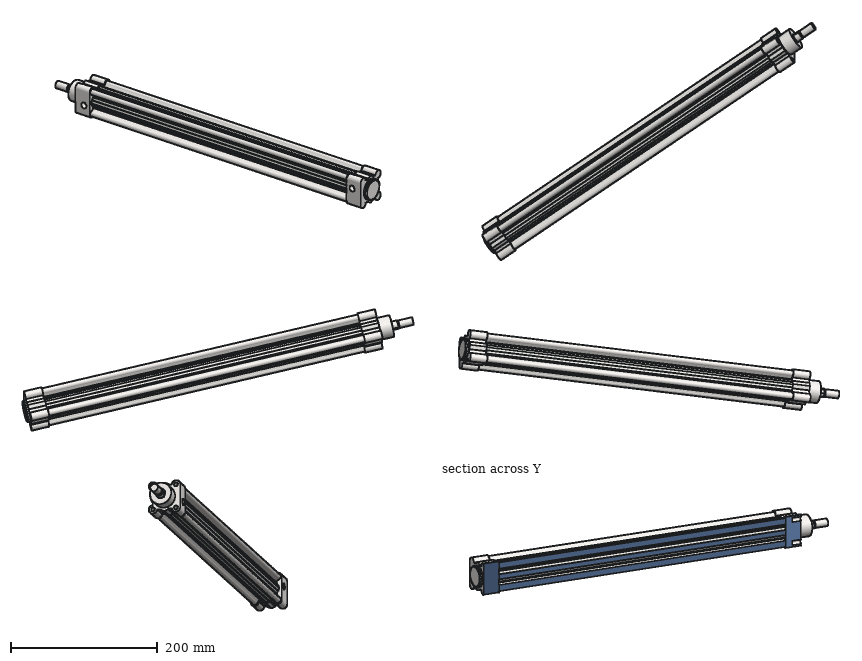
import cadquery as cq
import math


overall_length = 546.0
boss_front_x = 30.0
front_cap_x = 48.0
cap_length = 24.5
rear_boss_length = 4.5
tube_start_x = front_cap_x + cap_length
rear_cap_x = overall_length - rear_boss_length - cap_length

cap_size = 45.0
ear_offset = 16.5
ear_radius = cap_size / 2 - ear_offset
web_half = 17.0
ridge_apex = 20.0
ridge_edge = 18.0
ridge_half_width = 5.5
screw_hole_radius = 3.0
screw_hole_depth = 13.5

boss_radius = 15.5
rear_boss_chamfer = 1.5
wiper_recess_radius = 6.5
wiper_recess_depth = 3.0
port_radius = 4.5
port_depth = 8.0
port_from_tube = 10.0
port_height = 5.0

rail_radius = 4.5
rail_end_angle = math.radians(20)
crown_apex = 18.5
crown_eave = (4.0, 17.5)
ledge_inner = (4.0, 16.5)
ledge_outer = (7.5, 15.5)
groove_inner = (7.5, 13.5)
groove_outer = (9.5, 13.5)

rod_radius = 6.0
thread_radius = 5.5
thread_length = 19.5
relief_radius = 4.5
relief_width = 1.5
flats_half_width = 5.5
flats_end_x = 27.5

ear_centres = [(side_y * ear_offset, side_z * ear_offset) for side_y in (-1, 1) for side_z in (-1, 1)]


def section_at(x):
    """Workplane across the axis at x; its local axes are Y and Z and it extrudes toward +X."""
    return cq.Workplane("YZ", origin=(x, 0, 0))


def cap_block(x):
    """End cap with four round ears, three scalloped and ridged sides and a flat -Y side."""
    block = section_at(x).rect(2 * web_half, 2 * web_half).extrude(cap_length)
    block = block.union(section_at(x).pushPoints(ear_centres).circle(ear_radius).extrude(cap_length))

    wall = section_at(x).center(-cap_size / 4, 0).rect(cap_size / 2, 2 * ear_offset)
    block = block.union(wall.extrude(cap_length))

    outline = [(-ridge_half_width, 0), (-ridge_half_width, ridge_edge), (0, ridge_apex),
               (ridge_half_width, ridge_edge), (ridge_half_width, 0)]
    ridge = section_at(x).polyline(outline).close().extrude(cap_length)
    for angle in (-90, 0, 180):
        block = block.union(ridge.rotate((0, 0, 0), (1, 0, 0), angle))
    return block


def cut_port(cap, x, z):
    """Blind air port in the flat -Y side."""
    port = cq.Workplane("XZ", origin=(x, -cap_size / 2, z)).circle(port_radius).extrude(-port_depth)
    return cap.cut(port)


def make_front_cap():
    cap = cap_block(front_cap_x)
    cap = cap.union(section_at(boss_front_x).circle(boss_radius).extrude(front_cap_x - boss_front_x))
    cap = cap.cut(section_at(boss_front_x).circle(rod_radius).extrude(tube_start_x - boss_front_x))
    cap = cap.cut(section_at(boss_front_x).circle(wiper_recess_radius).extrude(wiper_recess_depth))
    screw_holes = section_at(front_cap_x).pushPoints(ear_centres).circle(screw_hole_radius)
    cap = cap.cut(screw_holes.extrude(screw_hole_depth))
    return cut_port(cap, tube_start_x - port_from_tube, -port_height)


def make_rear_cap():
    boss_x = rear_cap_x + cap_length
    boss = section_at(boss_x).circle(boss_radius).extrude(rear_boss_length)
    boss = boss.faces(">X").chamfer(rear_boss_chamfer)
    cap = cap_block(rear_cap_x).union(boss)
    return cut_port(cap, rear_cap_x + port_from_tube, port_height)


def quarter_turn(point, quarters):
    """Turn a section point clockwise about the axis by a number of quarter turns."""
    y, z = point
    for _ in range(quarters):
        y, z = z, -y
    return (y, z)


def make_tube():
    """Profile tube: a stepped crown on each side, a round rail on each corner, grooves between."""
    rail_start = (ear_offset - rail_radius * math.cos(rail_end_angle),
                  ear_offset + rail_radius * math.sin(rail_end_angle))
    rail_crest = ear_offset + rail_radius * math.sqrt(0.5)

    half_side = [crown_eave, ledge_inner, ledge_outer, groove_inner, groove_outer, rail_start]
    mirrored_half = [(z, y) for y, z in reversed(half_side)]

    profile = section_at(tube_start_x).moveTo(0, crown_apex)
    for quarters in range(4):
        for point in half_side:
            profile = profile.lineTo(*quarter_turn(point, quarters))
        rail_end = quarter_turn(mirrored_half[0], quarters)
        profile = profile.threePointArc(quarter_turn((rail_crest, rail_crest), quarters), rail_end)
        for point in mirrored_half[1:] + [(crown_apex, 0)]:
            profile = profile.lineTo(*quarter_turn(point, quarters))
    return profile.close().extrude(rear_cap_x - tube_start_x)


def make_piston_rod():
    """Rod ending at the tube, with wrench flats, a thread relief and a plain threaded end."""
    shank_x = thread_length + relief_width
    rod = section_at(0).circle(thread_radius).extrude(thread_length)
    rod = rod.union(section_at(thread_length).circle(relief_radius).extrude(relief_width))
    shank = section_at(shank_x).circle(rod_radius).extrude(tube_start_x - shank_x)

    flats_length = flats_end_x - shank_x
    flat_bar = section_at(shank_x).rect(2 * flats_half_width, 2 * rod_radius).extrude(flats_length)
    flats_zone = section_at(shank_x).circle(rod_radius).extrude(flats_length)
    shank = shank.cut(flats_zone.cut(flat_bar))
    return rod.union(shank)


front_cap = make_front_cap()
tube = make_tube()
rear_cap = make_rear_cap()
piston_rod = make_piston_rod()

result = cq.Compound.makeCompound([front_cap.val(), tube.val(), rear_cap.val(), piston_rod.val()])